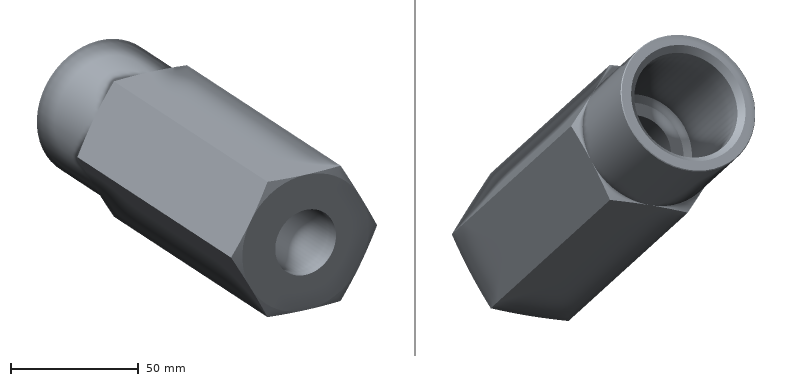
import cadquery as cq
import math

total_length = 159.8
collar_length = 38.2
across_flats = 57.2
collar_diameter = across_flats
collar_edge_chamfer = 0.3
across_corners = across_flats / math.cos(math.pi / 6)

corner_chamfer_angle = math.radians(15)
corner_chamfer_length = (across_corners - across_flats) / 2 * math.tan(corner_chamfer_angle)

mouth_diameter = 48.5
socket_diameter = 43.8
floor_diameter = 38.0
through_diameter = 27.5
mouth_chamfer_length = (mouth_diameter - socket_diameter) / 2
socket_depth = 48.0
floor_cone_angle = math.radians(60)
floor_cone_length = (socket_diameter - floor_diameter) / 2 / math.tan(floor_cone_angle)


def revolve_about_x(profile):
    """Solid of revolution from (x, radius) points, closed along the X axis."""
    points = [(profile[0][0], 0), *profile, (profile[-1][0], 0)]
    return cq.Workplane("XY").polyline(points).close().revolve(360, (0, 0, 0), (1, 0, 0))


def hexagon_body():
    """Hexagonal bar with corners pointing along Y and both ends chamfered."""
    bar = (
        cq.Workplane("YZ", origin=(collar_length, 0, 0))
        .polygon(6, across_corners)
        .extrude(total_length - collar_length)
    )
    chamfer_envelope = revolve_about_x([
        (collar_length, across_flats / 2),
        (collar_length + corner_chamfer_length, across_corners / 2),
        (total_length - corner_chamfer_length, across_corners / 2),
        (total_length, across_flats / 2),
    ])
    return bar.intersect(chamfer_envelope)


def collar():
    """Round collar as wide as the hexagon's flats, with its free outer edge broken."""
    cylinder = cq.Workplane("YZ").circle(collar_diameter / 2).extrude(collar_length)
    return cylinder.faces("<X").chamfer(collar_edge_chamfer)


def stepped_bore():
    """Chamfered mouth, socket with a conical bottom edge, then the through hole."""
    cone_end = socket_depth + floor_cone_length
    return revolve_about_x([
        (0, mouth_diameter / 2),
        (mouth_chamfer_length, socket_diameter / 2),
        (socket_depth, socket_diameter / 2),
        (cone_end, floor_diameter / 2),
        (cone_end, through_diameter / 2),
        (total_length, through_diameter / 2),
    ])


result = hexagon_body().union(collar()).cut(stepped_bore())